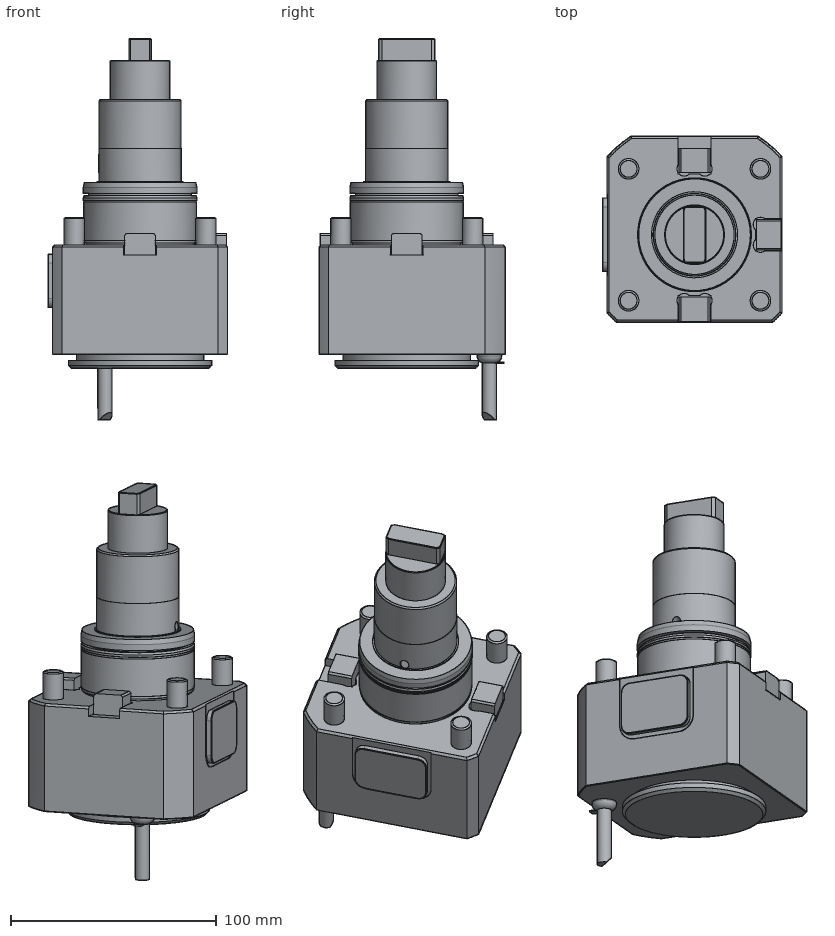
import cadquery as cq
import math


side_reach = 42.5
back_reach = 48.0
corner_radius = 57.0
housing_height = 53.3
top_chamfer = 1.1
bottom_chamfer = 0.4

recess_width = 39.5
recess_height = 32.7
recess_depth = 0.4
recess_corner_radius = 8.0
pad_width = 35.9
pad_height = 26.0
pad_drop = 4.5
pad_rise = 2.2
pad_corner_radius = 4.5
pad_edge_chamfer = 0.4

slot_width = 16.0
slot_depth = 4.8
slot_start = 29.6
relief_diameter = 7.0
relief_end_inset = 2.4
relief_side_inset = 3.0
key_width = 15.0
key_top = 5.5
key_start = 30.2
key_end = 42.0
key_chamfer = 1.0

pin_diameter = 10.0
pin_height = 13.3
pin_offset = 32.0
pin_chamfer_height = 0.5
pin_chamfer_width = 1.0

boss_diameter = 55.0
boss_base_diameter = 54.5
undercut_diameter = 52.7
undercut_height = 1.0
boss_base_height = 2.2
fine_groove_bottom = 20.7
fine_groove_top = 21.6
boss_lip_diameter = 55.3
ring_groove_diameter = 50.0
ring_groove_bottom = 23.9
ring_groove_top = 25.0
lip_chamfer_height = 1.1
lip_chamfer_width = 0.4
flange_top = 30.3
flange_chamfer_height = 2.4
flange_chamfer_width = 0.5

sleeve_base_diameter = 41.8
sleeve_base_height = 0.4
sleeve_lower_diameter = 40.1
sleeve_joint = 46.8
sleeve_diameter = 40.0
sleeve_top = 70.7
sleeve_chamfer = 0.7
spindle_diameter = 29.0
spindle_top = 89.5
spindle_chamfer = 0.4

blade_thickness = 11.0
blade_length = 27.4
blade_top = 100.0
blade_corner_length = 1.7
blade_corner_width = 1.0
blade_top_chamfer = 0.4

vent_diameter = 4.5
vent_height = 33.0
vent_slope = 30
vent_depth = 1.8

plug_neck_diameter = 62.0
plug_neck_height = 2.8
plug_diameter = 69.7
plug_bottom = -60.0
plug_chamfer = 1.5

cable_x = -17.0
cable_y = 40.1
cable_diameter = 7.0
cable_bottom = -85.0
cable_bevel_direction = (0.7, -0.7)
gland_diameter = 12.0
gland_height = 4.3
gland_fillet = 3.7
gland_tab_reach = 7.0
gland_tab_width = 3.7
gland_tab_thickness = 0.7


def make_housing():
    block = (
        cq.Workplane("XY")
        .workplane(offset=-housing_height)
        .center(0, (back_reach - side_reach) / 2)
        .rect(2 * side_reach, side_reach + back_reach)
        .extrude(housing_height)
    )
    corner_cylinder = (
        cq.Workplane("XY").workplane(offset=-housing_height).circle(corner_radius).extrude(housing_height)
    )
    block = block.intersect(corner_cylinder)
    return block.faces(">Z").chamfer(top_chamfer).faces("<Z").chamfer(bottom_chamfer)


def side_plate(width, top, bottom, x_outer, x_inner, radius, edges):
    """Plate parallel to the -X face, with its chosen X-direction edges rounded."""
    return (
        cq.Workplane("XY")
        .box(x_inner - x_outer, width, top - bottom, centered=(False, True, False))
        .translate((x_outer, 0, bottom))
        .edges(edges)
        .fillet(radius)
    )


def make_slot(direction):
    """Open-ended key slot, built along +X and turned to its direction in degrees."""
    length = back_reach - slot_start
    slot = (
        cq.Workplane("XY")
        .box(length, slot_width, slot_depth, centered=(False, True, False))
        .translate((slot_start, 0, -slot_depth))
    )
    relief_y = slot_width / 2 - relief_side_inset
    relief_x = slot_start + relief_end_inset
    reliefs = (
        cq.Workplane("XY")
        .workplane(offset=-slot_depth)
        .pushPoints([(relief_x, relief_y), (relief_x, -relief_y)])
        .circle(relief_diameter / 2)
        .extrude(slot_depth)
    )
    return slot.union(reliefs).rotate((0, 0, 0), (0, 0, 1), direction)


def make_key(direction):
    """Key standing on the slot floor, with its long top edges chamfered."""
    key = (
        cq.Workplane("XY")
        .box(key_end - key_start, key_width, key_top + slot_depth, centered=(False, True, False))
        .translate((key_start, 0, -slot_depth))
        .edges("|X and >Z")
        .chamfer(key_chamfer)
    )
    return key.rotate((0, 0, 0), (0, 0, 1), direction)


def make_pins():
    return (
        cq.Workplane("XY")
        .rect(2 * pin_offset, 2 * pin_offset, forConstruction=True)
        .vertices()
        .circle(pin_diameter / 2)
        .extrude(pin_height)
        .faces(">Z")
        .chamfer(pin_chamfer_height, pin_chamfer_width)
    )


def revolve_profile(points):
    """Turn a closed (radius, height) outline about the Z axis."""
    return cq.Workplane("XZ").polyline(points).close().revolve(360, (0, 0, 0), (0, 1, 0))


def make_boss():
    lip_radius = boss_lip_diameter / 2
    return revolve_profile([
        (0, 0),
        (undercut_diameter / 2, 0),
        (undercut_diameter / 2, undercut_height),
        (boss_base_diameter / 2, undercut_height),
        (boss_base_diameter / 2, boss_base_height),
        (boss_diameter / 2, boss_base_height),
        (boss_diameter / 2, fine_groove_bottom),
        (boss_base_diameter / 2, fine_groove_bottom),
        (boss_base_diameter / 2, fine_groove_top),
        (lip_radius, fine_groove_top),
        (lip_radius, ring_groove_bottom - lip_chamfer_height),
        (lip_radius - lip_chamfer_width, ring_groove_bottom),
        (ring_groove_diameter / 2, ring_groove_bottom),
        (ring_groove_diameter / 2, ring_groove_top),
        (lip_radius, ring_groove_top),
        (lip_radius, flange_top - flange_chamfer_height),
        (lip_radius - flange_chamfer_width, flange_top),
        (0, flange_top),
    ])


def make_sleeve_and_spindle():
    return revolve_profile([
        (0, flange_top),
        (sleeve_base_diameter / 2, flange_top),
        (sleeve_base_diameter / 2, flange_top + sleeve_base_height),
        (sleeve_lower_diameter / 2, flange_top + sleeve_base_height),
        (sleeve_lower_diameter / 2, sleeve_joint),
        (sleeve_diameter / 2, sleeve_joint),
        (sleeve_diameter / 2, sleeve_top - sleeve_chamfer),
        (sleeve_diameter / 2 - sleeve_chamfer, sleeve_top),
        (spindle_diameter / 2, sleeve_top),
        (spindle_diameter / 2, spindle_top - spindle_chamfer),
        (spindle_diameter / 2 - spindle_chamfer, spindle_top),
        (0, spindle_top),
    ])


def make_blade():
    half_x = blade_thickness / 2
    half_y = blade_length / 2
    inner_x = half_x - blade_corner_width
    inner_y = half_y - blade_corner_length
    outline = [
        (half_x, inner_y),
        (inner_x, half_y),
        (-inner_x, half_y),
        (-half_x, inner_y),
        (-half_x, -inner_y),
        (-inner_x, -half_y),
        (inner_x, -half_y),
        (half_x, -inner_y),
    ]
    return (
        cq.Workplane("XY")
        .workplane(offset=spindle_top)
        .polyline(outline)
        .close()
        .extrude(blade_top - spindle_top)
        .faces(">Z")
        .chamfer(blade_top_chamfer)
    )


def make_vent():
    """Flat-bottomed hole that slopes down toward the spindle axis."""
    slope = math.radians(vent_slope)
    axis = cq.Vector(math.cos(slope), 0, -math.sin(slope))
    mouth = cq.Vector(-sleeve_lower_diameter / 2, 0, vent_height)
    return cq.Workplane(
        cq.Solid.makeCylinder(vent_diameter / 2, 2 * vent_depth, mouth - axis * vent_depth, axis)
    )


def make_plug():
    return revolve_profile([
        (0, plug_bottom),
        (plug_diameter / 2 - plug_chamfer, plug_bottom),
        (plug_diameter / 2, plug_bottom + plug_chamfer),
        (plug_diameter / 2, -housing_height - plug_neck_height),
        (plug_neck_diameter / 2, -housing_height - plug_neck_height),
        (plug_neck_diameter / 2, -housing_height),
        (0, -housing_height),
    ])


def make_cable():
    """Cable under a domed gland with a thin tab; a 45 degree bevel starts at the end centre."""
    gland = (
        cq.Workplane("XY")
        .workplane(offset=-housing_height)
        .center(cable_x, cable_y)
        .circle(gland_diameter / 2)
        .extrude(-gland_height)
        .faces("<Z")
        .edges()
        .fillet(gland_fillet)
    )
    tab = (
        cq.Workplane("XY")
        .box(gland_tab_width, gland_tab_reach, gland_tab_thickness, centered=(True, False, False))
        .translate((cable_x, cable_y, -housing_height - gland_height))
    )
    cable = (
        cq.Workplane("XY")
        .workplane(offset=cable_bottom)
        .center(cable_x, cable_y)
        .circle(cable_diameter / 2)
        .extrude(-housing_height - cable_bottom)
    )
    bevel_x, bevel_y = cable_bevel_direction
    bevel_plane = cq.Plane(
        origin=(cable_x, cable_y, cable_bottom),
        xDir=(-bevel_y, bevel_x, 0),
        normal=(bevel_x, bevel_y, -math.hypot(bevel_x, bevel_y)),
    )
    bevel = cq.Workplane(bevel_plane).rect(2 * cable_diameter, 2 * cable_diameter).extrude(cable_diameter)
    return gland.union(tab).union(cable.cut(bevel))


pad_bottom = -pad_drop - pad_height
recess_floor = -side_reach + recess_depth
recess = side_plate(
    recess_width, 0, -recess_height, -side_reach, recess_floor, recess_corner_radius, "|X and <Z"
)
pad = side_plate(
    pad_width, -pad_drop, pad_bottom, -side_reach - pad_rise, recess_floor, pad_corner_radius, "|X"
)
pad = pad.faces("<X").chamfer(pad_edge_chamfer)

result = make_housing().cut(recess).union(pad)
for key_direction in (-90, 0, 90):
    result = result.cut(make_slot(key_direction)).union(make_key(key_direction))
result = result.union(make_pins()).union(make_boss()).union(make_sleeve_and_spindle()).union(make_blade())
result = result.cut(make_vent()).union(make_plug()).union(make_cable())